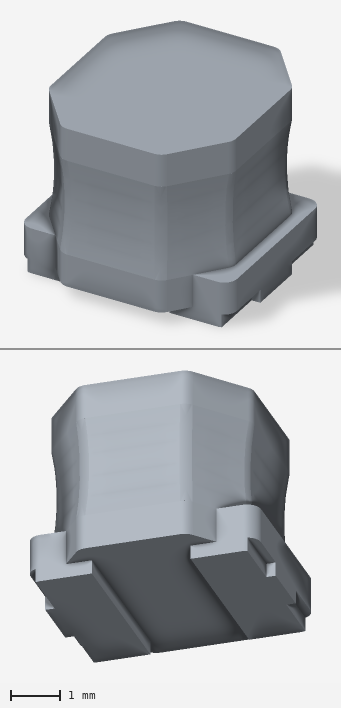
import cadquery as cq
import math

body_length_x = 4.3
body_length_y = 4.9
total_height = 4.0
flange_length_x = 4.9
flange_length_y = 3.8

half_flat_x = 1.15
half_flat_y = 1.22
corner_radius = 0.3

terminal_thickness = 0.3
layer_thickness = 0.75
flange_top = terminal_thickness + layer_thickness
cap_bottom = total_height - layer_thickness
neck_depth = 0.1

terminal_length = 1.4
plate_setback = 0.2
tab_width = 1.3
tab_height = 0.4

half_x = body_length_x / 2
half_y = body_length_y / 2

slant_run_x = half_x - half_flat_x
slant_run_y = half_y - half_flat_y
slant_angle = math.degrees(math.atan2(slant_run_x, slant_run_y))
slant_distance = (
    half_x * math.cos(math.radians(slant_angle))
    + half_flat_y * math.sin(math.radians(slant_angle))
)


def octagon_block(bottom, height):
    """Straight octagonal block with rounded vertical edges."""
    corners = [
        (half_flat_x, half_y),
        (half_x, half_flat_y),
        (half_x, -half_flat_y),
        (half_flat_x, -half_y),
        (-half_flat_x, -half_y),
        (-half_x, -half_flat_y),
        (-half_x, half_flat_y),
        (-half_flat_x, half_y),
    ]
    block = cq.Workplane("XY").workplane(offset=bottom).polyline(corners).close().extrude(height)
    return block.edges("|Z").fillet(corner_radius)


def waisted_slab(half_width, angle):
    """Long slab whose two side faces curve inward, with one side's normal at the angle from +X."""
    slab_length = 2 * (body_length_x + body_length_y)
    middle_height = (flange_top + cap_bottom) / 2
    waist = half_width - neck_depth
    profile = (
        cq.Workplane("XZ")
        .moveTo(-half_width, flange_top)
        .lineTo(half_width, flange_top)
        .threePointArc((waist, middle_height), (half_width, cap_bottom))
        .lineTo(-half_width, cap_bottom)
        .threePointArc((-waist, middle_height), (-half_width, flange_top))
        .close()
    )
    slab = profile.extrude(slab_length / 2, both=True)
    return slab.rotate((0, 0, 0), (0, 0, 1), angle)


def make_neck():
    """Octagonal neck with every side curving inward and the corners rounded."""
    neck = (
        waisted_slab(half_x, 0)
        .intersect(waisted_slab(half_y, 90))
        .intersect(waisted_slab(slant_distance, slant_angle))
        .intersect(waisted_slab(slant_distance, -slant_angle))
    )
    return neck.edges("%ELLIPSE").fillet(corner_radius)


def flange_block(bottom, height):
    """Rectangular block with the rounded flange outline."""
    block = (
        cq.Workplane("XY")
        .workplane(offset=bottom)
        .rect(flange_length_x, flange_length_y)
        .extrude(height)
    )
    return block.edges("|Z").fillet(corner_radius)


def make_tab(side):
    """Tab of a terminal, flush with the flange end and rising into the flange."""
    return (
        cq.Workplane("XY")
        .center(side * (flange_length_x - plate_setback) / 2, 0)
        .rect(plate_setback, tab_width)
        .extrude(tab_height)
    )


def make_terminal(side):
    """Terminal at the -X end (side = -1) or the +X end (side = 1)."""
    plate_length = terminal_length - plate_setback
    end_x = flange_length_x / 2
    plate = (
        cq.Workplane("XY")
        .center(side * (end_x - plate_setback - plate_length / 2), 0)
        .rect(plate_length, flange_length_y)
        .extrude(terminal_thickness)
        .intersect(flange_block(0, terminal_thickness))
    )
    return plate.union(make_tab(side))


base = octagon_block(terminal_thickness, layer_thickness).union(
    flange_block(terminal_thickness, layer_thickness)
)
cap = octagon_block(cap_bottom, layer_thickness)
result = base.union(make_neck()).union(cap)

for end in (-1, 1):
    result = result.cut(make_tab(end), clean=False).union(make_terminal(end), clean=False)